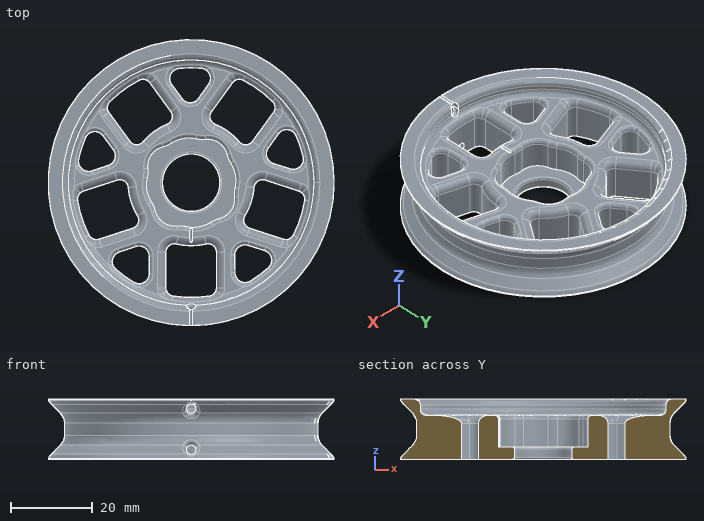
import cadquery as cq
import math

rim_radius = 34.9
half_width = 7.4
barrel_radius = 31.0
barrel_half_width = 1.55
groove_fillet = 3.35
flank_slope = math.radians(45.0)
lip_start_z = 6.1
lip_end_z = 7.1

recess_depth = 4.0
recess_wall_radius = 29.95
recess_fillet = 1.5
floor_z = half_width - recess_depth
floor_radius = recess_wall_radius - recess_fillet
mouth_radius = recess_wall_radius + recess_fillet

bore_radius = 7.0
bore_edge_fillet = 0.5
pocket_floor_z = -4.3
lobe_count = 4
lobe_pitch = 360.0 / lobe_count
side_lobe_radius = 7.8
side_lobe_reach = 10.95
corner_lobe_radius = 4.9
corner_lobe_reach = 11.9
pocket_turn = 10.0
lobe_blend_radius = 7.0
pocket_edge_fillet = 1.0

window_count = 5
window_pitch = 360.0 / window_count
window_outer_radius = 28.0
square_angle = -90.0
square_inner_radius = 15.4
square_half_width = 6.15
square_corner_radius = 2.0
square_edge_fillet = 2.0
triangle_turn = 0.6
triangle_angle = square_angle + window_pitch / 2 + triangle_turn
triangle_side_offset = 10.5
triangle_corner_radius = 2.45
triangle_edge_fillet = 1.0

valve_diameter = 2.3
valve_radius = valve_diameter / 2
valve_z = 5.0
valve_edge_fillet = 1.0
valve_end_radius = 26.55
valve_relief_place = 29.8
mark_radius = 0.35
mark_overrun = 0.7

margin = 0.01


def disc(radius, bottom_z, top_z):
    return cq.Workplane("XY").workplane(offset=bottom_z).circle(radius).extrude(top_z - bottom_z)


def turned(body, angle):
    return body.rotate((0, 0, 0), (0, 0, 1), angle)


def wheel_blank():
    """Revolved wheel: grooved rim, recess above and a plate flush with the lower face."""

    def groove_point(turn, side):
        radius = barrel_radius + groove_fillet * (1 - math.cos(turn))
        return radius, side * (barrel_half_width + groove_fillet * math.sin(turn))

    flank_radius, flank_z = groove_point(flank_slope, 1)
    lip_start_radius = flank_radius + lip_start_z - flank_z
    lip_rise = lip_end_z - lip_start_z
    lip_run = rim_radius - lip_start_radius
    lip_turn = 2 * (math.atan2(lip_rise, lip_run) - flank_slope)
    lip_arc_radius = math.hypot(lip_rise, lip_run) / (2 * math.sin(lip_turn / 2))
    wall_bottom_z = floor_z + recess_fillet
    wall_top_z = half_width - recess_fillet
    profile = (
        cq.Workplane("XZ")
        .moveTo(0, -half_width)
        .lineTo(rim_radius, -half_width)
        .lineTo(rim_radius, -lip_end_z)
        .radiusArc((lip_start_radius, -lip_start_z), -lip_arc_radius)
        .lineTo(flank_radius, -flank_z)
        .threePointArc(groove_point(flank_slope / 2, -1), groove_point(0, -1))
        .lineTo(*groove_point(0, 1))
        .threePointArc(groove_point(flank_slope / 2, 1), groove_point(flank_slope, 1))
        .lineTo(lip_start_radius, lip_start_z)
        .radiusArc((rim_radius, lip_end_z), -lip_arc_radius)
        .lineTo(rim_radius, half_width)
        .lineTo(mouth_radius, half_width)
        .radiusArc((recess_wall_radius, wall_top_z), -recess_fillet)
        .lineTo(recess_wall_radius, wall_bottom_z)
        .radiusArc((floor_radius, floor_z), recess_fillet)
        .lineTo(0, floor_z)
        .close()
    )
    return profile.revolve(360, (0, 0, 0), (0, 1, 0))


def square_window():
    """Four-sided opening along +X with arcs at its inner and outer ends."""
    length = window_outer_radius + square_corner_radius
    strip = (
        cq.Workplane("XY")
        .workplane(offset=-half_width)
        .center(length / 2, 0)
        .rect(length, 2 * square_half_width)
        .extrude(half_width + floor_z)
    )
    outer = disc(window_outer_radius, -half_width, floor_z)
    inner = disc(square_inner_radius, -half_width, floor_z)
    return strip.intersect(outer).cut(inner).edges("|Z").fillet(square_corner_radius)


def triangle_window():
    """Three-sided opening along +X whose sides run parallel to the square windows."""
    half_angle = math.radians(window_pitch / 2)
    apex = triangle_side_offset / math.sin(half_angle)
    half_base = (rim_radius - apex) * math.tan(half_angle)
    wedge = (
        cq.Workplane("XY")
        .workplane(offset=-half_width)
        .polyline([(apex, 0), (rim_radius, -half_base), (rim_radius, half_base)])
        .close()
        .extrude(half_width + floor_z)
    )
    outer = disc(window_outer_radius, -half_width, floor_z)
    return wedge.intersect(outer).edges("|Z").fillet(triangle_corner_radius)


def hub_pocket():
    """Lobed pocket with softly blended notches between the lobes."""
    pocket = disc(bore_radius, pocket_floor_z, floor_z)
    for i in range(lobe_count):
        side = disc(side_lobe_radius, pocket_floor_z, floor_z)
        side = side.translate((side_lobe_reach - side_lobe_radius, 0, 0))
        corner = disc(corner_lobe_radius, pocket_floor_z, floor_z)
        corner = corner.translate((corner_lobe_reach - corner_lobe_radius, 0, 0))
        pocket = pocket.union(turned(side, i * lobe_pitch))
        pocket = pocket.union(turned(corner, (i + 0.5) * lobe_pitch))
    return turned(pocket.edges("|Z").fillet(lobe_blend_radius), pocket_turn)


def edges_inside(body, lower_corner, upper_corner):
    """Select the edges that lie wholly within a box, with a small margin around it."""
    lower = tuple(value - margin for value in lower_corner)
    upper = tuple(value + margin for value in upper_corner)
    return body.edges(cq.selectors.BoxSelector(lower, upper, boundingbox=True))


def cut_with_rounded_edge(body, cutter, edge_fillet):
    """Cut the body and round the rim that the cutter leaves in the recess floor."""
    box = cutter.val().BoundingBox()
    rim = edges_inside(body.cut(cutter), (box.xmin, box.ymin, floor_z), (box.xmax, box.ymax, floor_z))
    return rim.fillet(edge_fillet)


def cut_bore(body):
    """Cut the bore through the hub and round both of its edges."""
    body = body.cut(disc(bore_radius, -half_width, pocket_floor_z))
    bore_edges = edges_inside(
        body, (-bore_radius, -bore_radius, -half_width), (bore_radius, bore_radius, pocket_floor_z)
    )
    return bore_edges.edges("%CIRCLE").fillet(bore_edge_fillet)


def cut_valve_hole(body, z):
    """Cut a radial hole on the -Y side and round its mouth in the groove flank."""
    hole = (
        cq.Workplane("XZ", origin=(0, -valve_end_radius, z))
        .circle(valve_radius)
        .extrude(rim_radius - valve_end_radius)
    )
    mouth = edges_inside(
        body.cut(hole),
        (-valve_radius, -rim_radius, z - valve_radius),
        (valve_radius, -barrel_radius, z + valve_radius),
    )
    return mouth.fillet(valve_edge_fillet)


def cut_valve_relief(body):
    """Open the inner end of the upper valve hole upward through the rounded recess mouth."""
    relief = disc(valve_radius, valve_z, half_width).translate((0, -valve_relief_place, 0))
    return body.cut(relief)


def cut_index_mark(body, inner_radius, outer_radius, face_z):
    """Cut a shallow round-bottomed radial groove on the -Y side of a face."""
    mark = (
        cq.Workplane("XZ", origin=(0, -inner_radius, face_z))
        .circle(mark_radius)
        .extrude(outer_radius - inner_radius)
    )
    return body.cut(mark)


wheel = wheel_blank()
wheel = cut_valve_hole(wheel, valve_z)
wheel = cut_valve_hole(wheel, -valve_z)
wheel = cut_valve_relief(wheel)

for i in range(window_count):
    square = turned(square_window(), square_angle + i * window_pitch)
    wheel = cut_with_rounded_edge(wheel, square, square_edge_fillet)
    triangle = turned(triangle_window(), triangle_angle + i * window_pitch)
    wheel = cut_with_rounded_edge(wheel, triangle, triangle_edge_fillet)

wheel = cut_with_rounded_edge(wheel, hub_pocket(), pocket_edge_fillet)
wheel = cut_bore(wheel)

wheel = cut_index_mark(wheel, recess_wall_radius, rim_radius + mark_overrun, half_width)
wheel = cut_index_mark(wheel, bore_radius + mark_overrun, square_inner_radius + mark_overrun, floor_z)

result = wheel